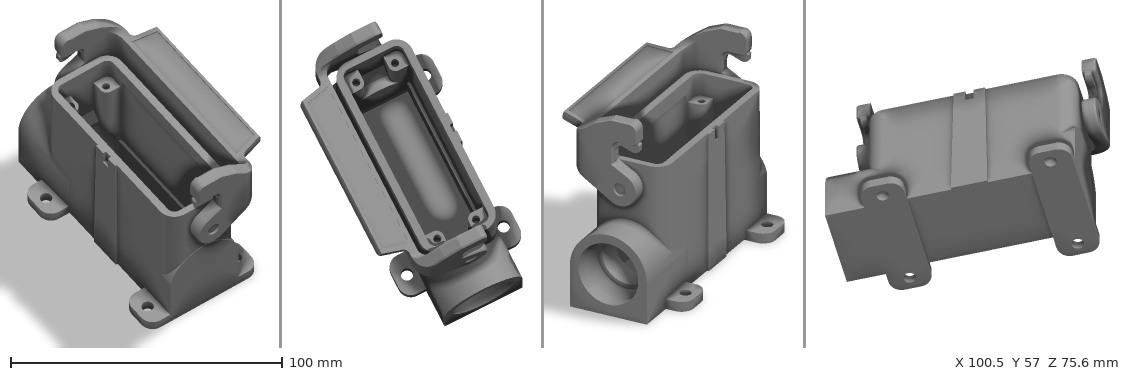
import cadquery as cq
import math

BODY_HALF_X = 40.1
BODY_HALF_Y = 15.6
BODY_BOTTOM = 1.0
RIM_Z = 57.0
RIM_INSET = 0.35
CORNER_R = 6.5
DRAFT = math.degrees(math.atan(RIM_INSET / (RIM_Z - BODY_BOTTOM)))

AXIS_Z = 17.0
CONDUIT_R = 16.1
CONDUIT_END_X = -54.95
CONDUIT_ROOT_X = -23.9
CONDUIT_BORE_D = 25.0
ENTRY_D = 21.0

FOOT_THICK = 4.0
FOOT_WIDTH = 16.2
FOOT_SPAN = 50.0
FOOT_R = 5.0
FOOT_HOLE_D = 4.6
FOOT_PITCH_X = 64.0
FOOT_PITCH_Y = 40.0

CAVITY_HALF_X = 37.1
CAVITY_HALF_Y = 12.3
CAVITY_R = 3.0
FLOOR_Z = 4.0
PAD_THICK = 0.85
PANEL_TOP_Z = 51.2
PANEL_HALF_X = 29.3
PANEL_DEPTH = 0.3

BOSS_TOP_Z = 47.8
BOSS_INNER_X = 29.9
BOSS_INNER_Y = 5.3
BOSS_R = 2.8
END_LEAN = 0.6
SCREW_D = 3.0
SCREW_DEPTH = 10.0
DRILL_HALF_ANGLE = 59.0
SCREW_PITCH_X = 66.0
SCREW_PITCH_Y = 16.0
SLOPE_FOOT_X = 33.8
PLUG_D = 23.6

RIB_THICK = 0.8
RIB_TOP_HALF = 6.0
RIB_BOTTOM_HALF = 6.95
NOTCH_WIDTH = 3.1
NOTCH_HEIGHT = 5.1
NOTCH_FLOOR_Y = -14.7

LEVER_HALF_X = 45.55
ARM_THICK = 5.2
ARM_INNER_X = LEVER_HALF_X - ARM_THICK
BAR_BACK_Y = 21.2
BAR_FRONT_Y = 18.0
BAR_BOTTOM_Z = 52.4
BAR_TOP_Z = 65.6
SHOULDER_Y = 11.2
SHOULDER_Z = 72.7
CROWN_Y = 4.0
BEND_OUTER_R = 7.05
BEND_INNER_R = 4.0
ARM_FRONT_Y = -6.65
LEVER_TOP_Z = 75.6
EDGE_SIDE = 0.35
EDGE_DEPTH = 0.7

PIVOT_Y = 0.3
PIVOT_Z = 47.6
EYE_R = 7.0
SPACER_D = 7.0
PIN_D = 4.0
DIMPLE_TOP_D = 5.1
DIMPLE_FLOOR_D = 4.6
DIMPLE_DEPTH = 0.8

HOOK_Z = 66.75
THROAT_Y = 3.6
THROAT_Z = 57.4
THROAT_R = 3.0
NOSE_R = 3.0
LIP_R = 1.5

TOOTH_WIDTH = 2.4
TOOTH_X = 42.7
TOOTH_BACK = (2.9, 62.1)
TOOTH_HOLLOW = (2.3, 64.0)
TOOTH_CEILING = (0.35, 65.0)
TOOTH_DIP_START = (-4.0, 63.4)
TOOTH_DIP = (-4.9, 63.3)
TOOTH_TIP = (-6.8, 64.0)
TOOTH_FRONT = (-7.0, 66.5)
TOOTH_ROOT_Z = HOOK_Z + LIP_R

GRIP_SLOPE = 9.0
GRIP_THICK = 3.4
GRIP_TIP_Y = 32.04
GRIP_TIP_Z = 63.8
GRIP_TIP_HALF_X = 32.0
GRIP_ROOT_HALF_X = 34.6
GRIP_TIP_LEAN = 1.4
GRIP_BASE_HALF_X = 38.0
GRIP_CORNER_R = 1.8
GRIP_ROOT_R = 2.5
GRIP_UNDER_R = 1.8
GRIP_PANEL_DEPTH = 0.4
GRIP_PANEL_TIP = (30.6, 29.6)
GRIP_PANEL_ROOT = (33.1, 19.7)
SADDLE_R = 3.5

SIDES = (-1, 1)


def block(x0, x1, y0, y1, z0, z1):
    """Box between two opposite corners."""
    return cq.Workplane("XY").box(x1 - x0, y1 - y0, z1 - z0, centered=False).translate((x0, y0, z0))


def rod_x(x0, x1, y, z, diameter):
    """Cylinder along X."""
    return cq.Workplane("YZ", origin=(x0, y, z)).circle(diameter / 2).extrude(x1 - x0)


def drafted_box():
    base = cq.Workplane("XY", origin=(0, 0, BODY_BOTTOM)).rect(2 * BODY_HALF_X, 2 * BODY_HALF_Y)
    return base.extrude(RIM_Z - BODY_BOTTOM, taper=DRAFT)


def outer_shell():
    return drafted_box().edges("not(|X or |Y)").fillet(CORNER_R)


def arch(x, half_width, length):
    """Upright arch section: a flat-sided block with a half-round top, extruded along X."""
    return arch_outline(cq.Workplane("YZ", origin=(x, 0, 0)), half_width).extrude(length)


def arch_outline(plane, half_width):
    return (
        plane.moveTo(-half_width, 0)
        .lineTo(-half_width, AXIS_Z)
        .threePointArc((0, AXIS_Z + half_width), (half_width, AXIS_Z))
        .lineTo(half_width, 0)
        .close()
    )


def conduit():
    """Conduit block outside the end wall and its narrowing root along the side walls."""
    root_length = CONDUIT_ROOT_X + BODY_HALF_X
    outside = arch(CONDUIT_END_X, CONDUIT_R, -BODY_HALF_X - CONDUIT_END_X)
    start = arch_outline(cq.Workplane("YZ", origin=(-BODY_HALF_X, 0, 0)), CONDUIT_R)
    root = arch_outline(start.workplane(offset=root_length), BODY_HALF_Y).loft(ruled=True)
    return outside.union(root)


def closed_end():
    """Square-cornered lower end opposite the conduit, flush with the long walls under an arched top."""
    rim_half_y = BODY_HALF_Y - RIM_INSET
    walls = (
        cq.Workplane("YZ")
        .polyline([
            (-BODY_HALF_Y, BODY_BOTTOM),
            (BODY_HALF_Y, BODY_BOTTOM),
            (rim_half_y, RIM_Z),
            (-rim_half_y, RIM_Z),
        ])
        .close()
        .extrude(BODY_HALF_X)
    )
    return walls.intersect(arch(0, CONDUIT_R, BODY_HALF_X))


def foot_bars():
    return (
        cq.Workplane("XY")
        .rarray(FOOT_PITCH_X, 1, 2, 1)
        .rect(FOOT_WIDTH, FOOT_SPAN)
        .extrude(FOOT_THICK)
        .edges("|Z")
        .fillet(FOOT_R)
    )


def index_rib():
    """Raised trapezoid on the front wall, leaning with the wall."""
    outer = BODY_HALF_Y + RIB_THICK
    return (
        cq.Workplane("XY", origin=(0, 0, BODY_BOTTOM))
        .center(0, -outer / 2)
        .rect(2 * RIB_BOTTOM_HALF, outer)
        .workplane(offset=RIM_Z - BODY_BOTTOM)
        .center(0, RIM_INSET / 2)
        .rect(2 * RIB_TOP_HALF, outer - RIM_INSET)
        .loft()
    )


def cavity():
    """Hollow of the housing, with everything that stands inside it already removed."""
    hollow = block(-CAVITY_HALF_X, CAVITY_HALF_X, -CAVITY_HALF_Y, CAVITY_HALF_Y, FLOOR_Z, RIM_Z)
    hollow = hollow.edges("|Z").fillet(CAVITY_R)
    pad_y = CAVITY_HALF_Y - PAD_THICK
    for side in SIDES:
        y0, y1 = sorted((side * pad_y, side * CAVITY_HALF_Y))
        hollow = hollow.cut(block(-BOSS_INNER_X, BOSS_INNER_X, y0, y1, FLOOR_Z, AXIS_Z))
        y0, y1 = sorted((side * pad_y, side * (CAVITY_HALF_Y + PANEL_DEPTH)))
        hollow = hollow.union(block(-PANEL_HALF_X, PANEL_HALF_X, y0, y1, AXIS_Z, PANEL_TOP_Z))
        hollow = hollow.cut(end_block(side))
        for y_side in SIDES:
            hollow = hollow.cut(screw_boss(side, y_side))
    return hollow.cut(rod_x(BOSS_INNER_X, CAVITY_HALF_X, 0, AXIS_Z, PLUG_D))


def end_block(side):
    """Solid end below the conduit axis with a sloped wall above it."""
    slope_foot_z = AXIS_Z + PLUG_D / 2
    profile = [
        (CAVITY_HALF_X, FLOOR_Z),
        (BOSS_INNER_X - END_LEAN, FLOOR_Z),
        (BOSS_INNER_X, AXIS_Z - ENTRY_D / 2),
        (BOSS_INNER_X, AXIS_Z),
        (SLOPE_FOOT_X, AXIS_Z),
        (SLOPE_FOOT_X, slope_foot_z),
        (CAVITY_HALF_X, slope_foot_z + CAVITY_HALF_X - SLOPE_FOOT_X),
    ]
    outline = [(side * x, z) for x, z in profile]
    return cq.Workplane("XZ").polyline(outline).close().extrude(CAVITY_HALF_Y, both=True)


def screw_boss(x_side, y_side):
    x0, x1 = sorted((x_side * BOSS_INNER_X, x_side * CAVITY_HALF_X))
    y0, y1 = sorted((y_side * BOSS_INNER_Y, y_side * CAVITY_HALF_Y))
    boss = block(x0, x1, y0, y1, FLOOR_Z, BOSS_TOP_Z)
    corner_point = (x_side * BOSS_INNER_X, y_side * BOSS_INNER_Y, BOSS_TOP_Z / 2)
    corner = cq.selectors.NearestToPointSelector(corner_point)
    return boss.edges("|Z").edges(corner).fillet(BOSS_R)


def screw_hole(x, y):
    """Blind hole with a drill-point end."""
    radius = SCREW_D / 2
    tip = SCREW_DEPTH + radius / math.tan(math.radians(DRILL_HALF_ANGLE))
    outline = [(0, 0), (radius, 0), (radius, -SCREW_DEPTH), (0, -tip)]
    hole = cq.Workplane("XZ").polyline(outline).close().revolve(360, (0, 0, 0), (0, 1, 0))
    return hole.translate((x, y, BOSS_TOP_Z))


def make_housing():
    body = outer_shell().union(closed_end()).union(conduit()).union(foot_bars()).union(index_rib())
    body = body.cut(cavity())
    body = body.cut(rod_x(CONDUIT_END_X, END_LEAN - BOSS_INNER_X, 0, AXIS_Z, ENTRY_D))
    body = body.cut(rod_x(CONDUIT_END_X, -BODY_HALF_X, 0, AXIS_Z, CONDUIT_BORE_D))
    for x_side in SIDES:
        for y_side in SIDES:
            body = body.cut(screw_hole(x_side * SCREW_PITCH_X / 2, y_side * SCREW_PITCH_Y / 2))
    foot_holes = (
        cq.Workplane("XY")
        .rarray(FOOT_PITCH_X, FOOT_PITCH_Y, 2, 2)
        .circle(FOOT_HOLE_D / 2)
        .extrude(FOOT_THICK)
    )
    notch = block(-NOTCH_WIDTH / 2, NOTCH_WIDTH / 2, -BODY_HALF_Y - RIB_THICK, NOTCH_FLOOR_Y,
                  RIM_Z - NOTCH_HEIGHT, RIM_Z)
    pin_holes = rod_x(-BODY_HALF_X, BODY_HALF_X, PIVOT_Y, PIVOT_Z, PIN_D)
    return body.cut(foot_holes).cut(notch).cut(pin_holes)


def eye_tangent(y, z, turn):
    """Point where a line from (y, z) touches the pivot eye, on the side chosen by turn."""
    dy = y - PIVOT_Y
    dz = z - PIVOT_Z
    angle = math.atan2(dz, dy) + turn * math.acos(EYE_R / math.hypot(dy, dz))
    return PIVOT_Y + EYE_R * math.cos(angle), PIVOT_Z + EYE_R * math.sin(angle)


def side_profile(x):
    """Side silhouette of the lever, drawn in the plane at x."""
    back_bottom = (BAR_BACK_Y, BAR_BOTTOM_Z)
    back_top = (BAR_BACK_Y, BAR_TOP_Z)
    crown = (CROWN_Y, LEVER_TOP_Z)
    throat = (THROAT_Y, THROAT_Z)
    lower_touch = eye_tangent(*back_bottom, -1)
    upper_touch = eye_tangent(*throat, 1)
    eye_front = (PIVOT_Y - EYE_R, PIVOT_Z)
    diagonal = math.sqrt(0.5)
    throat_mid = (THROAT_Y - THROAT_R * (1 - diagonal), HOOK_Z - THROAT_R * (1 - diagonal))
    lip_mid = (ARM_FRONT_Y + LIP_R * (1 - diagonal), HOOK_Z + LIP_R * (1 - diagonal))
    nose_mid = (ARM_FRONT_Y + NOSE_R * (1 - diagonal), LEVER_TOP_Z - NOSE_R * (1 - diagonal))
    return (
        cq.Workplane("YZ", origin=(x, 0, 0))
        .moveTo(*back_bottom)
        .lineTo(*back_top)
        .lineTo(SHOULDER_Y, SHOULDER_Z)
        .lineTo(*crown)
        .lineTo(ARM_FRONT_Y + NOSE_R, LEVER_TOP_Z)
        .threePointArc(nose_mid, (ARM_FRONT_Y, LEVER_TOP_Z - NOSE_R))
        .lineTo(ARM_FRONT_Y, HOOK_Z + LIP_R)
        .threePointArc(lip_mid, (ARM_FRONT_Y + LIP_R, HOOK_Z))
        .lineTo(THROAT_Y - THROAT_R, HOOK_Z)
        .threePointArc(throat_mid, (THROAT_Y, HOOK_Z - THROAT_R))
        .lineTo(*throat)
        .lineTo(*upper_touch)
        .threePointArc(eye_front, lower_touch)
        .close()
    )


def side_envelope():
    """Silhouette across the whole width, with bevelled edges at both outer faces."""
    core_x = LEVER_HALF_X - EDGE_DEPTH
    bevel = math.degrees(math.atan(EDGE_SIDE / EDGE_DEPTH))
    envelope = side_profile(-core_x).extrude(2 * core_x)
    envelope = envelope.union(side_profile(core_x).extrude(EDGE_DEPTH, taper=bevel))
    return envelope.union(side_profile(-core_x).extrude(-EDGE_DEPTH, taper=bevel))


def inner_top_bevel(side):
    """Material removed along the upper inner edge of an arm, from the bend to the nose."""
    x0 = side * ARM_INNER_X
    x1 = side * (ARM_INNER_X + EDGE_DEPTH)
    bevel = math.degrees(math.atan(EDGE_SIDE / EDGE_DEPTH))
    kept = side_profile(x1).extrude(x0 - x1, taper=bevel)
    back_y = BAR_BACK_Y - BEND_OUTER_R
    layer = block(min(x0, x1), max(x0, x1), ARM_FRONT_Y + NOSE_R, back_y, HOOK_Z + LIP_R, LEVER_TOP_Z)
    return layer.cut(kept)


def bow_plan():
    """U-shaped bow seen from above, as a tall prism."""
    front = min(ARM_FRONT_Y, PIVOT_Y - EYE_R)
    outer = block(-LEVER_HALF_X, LEVER_HALF_X, front, BAR_BACK_Y, 0, LEVER_TOP_Z)
    inner = block(-ARM_INNER_X, ARM_INNER_X, front, BAR_FRONT_Y, 0, LEVER_TOP_Z)
    outer = outer.edges("|Z and >Y").fillet(BEND_OUTER_R)
    return outer.cut(inner.edges("|Z and >Y").fillet(BEND_INNER_R))


def grip_plate(lift):
    """Full-width sloped plate as thick as the grip, raised by lift above it."""
    slope = math.tan(math.radians(GRIP_SLOPE))
    rise = GRIP_THICK / math.cos(math.radians(GRIP_SLOPE))
    tip_bottom = GRIP_TIP_Z + lift
    root_bottom = tip_bottom - slope * (GRIP_TIP_Y - BAR_FRONT_Y)
    tip_top_y = GRIP_TIP_Y - GRIP_TIP_LEAN
    return (
        cq.Workplane("YZ")
        .polyline([
            (GRIP_TIP_Y, tip_bottom),
            (tip_top_y, tip_bottom + rise - slope * GRIP_TIP_LEAN),
            (BAR_FRONT_Y, root_bottom + rise),
            (BAR_FRONT_Y, root_bottom),
        ])
        .close()
        .extrude(LEVER_HALF_X, both=True)
    )


def grip_top_z(y):
    """Height of the upper face of the grip at y."""
    angle = math.radians(GRIP_SLOPE)
    return GRIP_TIP_Z + GRIP_THICK / math.cos(angle) - math.tan(angle) * (GRIP_TIP_Y - y)


def saddle():
    """Space above the cross bar, level with the grip and blending up into the arms at both ends."""
    reach = BAR_FRONT_Y
    space = block(-ARM_INNER_X, ARM_INNER_X, -reach, reach, 0, LEVER_TOP_Z)
    space = space.edges("|Y and <Z").fillet(SADDLE_R)
    space = space.rotate((0, 0, 0), (1, 0, 0), GRIP_SLOPE)
    return space.translate((0, BAR_FRONT_Y, grip_top_z(BAR_FRONT_Y)))


def grip():
    """Sloped finger grip behind the cross bar, trapezoid in plan."""
    half_plan = [
        (GRIP_TIP_HALF_X, GRIP_TIP_Y),
        (GRIP_ROOT_HALF_X, BAR_BACK_Y),
        (GRIP_BASE_HALF_X, BAR_BACK_Y),
        (GRIP_BASE_HALF_X, BAR_FRONT_Y),
    ]
    mirrored = [(-x, y) for x, y in reversed(half_plan)]
    plan = cq.Workplane("XY").polyline(half_plan + mirrored).close().extrude(LEVER_TOP_Z)
    plan = plan.edges("|Z and >Y").fillet(GRIP_CORNER_R)
    for side in SIDES:
        root = cq.selectors.NearestToPointSelector((side * GRIP_ROOT_HALF_X, BAR_BACK_Y, LEVER_TOP_Z / 2))
        plan = plan.edges("|Z").edges(root).fillet(GRIP_ROOT_R)
    return grip_plate(0).intersect(plan)


def grip_panel():
    """Shallow recess in the upper face of the grip, running onto the cross bar."""
    tip_x, tip_y = GRIP_PANEL_TIP
    base_x, base_y = GRIP_PANEL_ROOT
    panel = (
        cq.Workplane("XY")
        .polyline([(-tip_x, tip_y), (tip_x, tip_y), (base_x, base_y), (-base_x, base_y)])
        .close()
        .extrude(LEVER_TOP_Z)
    )
    floor_rise = (GRIP_THICK - GRIP_PANEL_DEPTH) / math.cos(math.radians(GRIP_SLOPE))
    return grip_plate(floor_rise).intersect(panel)


def under_grip_edge():
    """Selects the edge where the underside of the grip meets the back of the cross bar."""
    rise = GRIP_THICK / math.cos(math.radians(GRIP_SLOPE))
    return cq.selectors.NearestToPointSelector((0, BAR_BACK_Y, grip_top_z(BAR_BACK_Y) - rise))


def hook_tooth(side):
    """Narrow catch below the hook."""
    return (
        cq.Workplane("YZ", origin=(side * TOOTH_X, 0, 0))
        .moveTo(THROAT_Y, TOOTH_BACK[1])
        .lineTo(*TOOTH_BACK)
        .threePointArc(TOOTH_HOLLOW, TOOTH_CEILING)
        .lineTo(*TOOTH_DIP_START)
        .threePointArc(TOOTH_DIP, TOOTH_TIP)
        .lineTo(*TOOTH_FRONT)
        .lineTo(ARM_FRONT_Y + LIP_R, TOOTH_ROOT_Z)
        .lineTo(THROAT_Y, TOOTH_ROOT_Z)
        .close()
        .extrude(TOOTH_WIDTH / 2, both=True)
    )


def dimple(side):
    """Shallow tapered recess in the outer face of an arm, over the pivot."""
    mouth = cq.Workplane("YZ", origin=(side * LEVER_HALF_X, PIVOT_Y, PIVOT_Z)).circle(DIMPLE_TOP_D / 2)
    return mouth.workplane(offset=-side * DIMPLE_DEPTH).circle(DIMPLE_FLOOR_D / 2).loft()


def pivot(side):
    """Spacer and pin of one arm; the pin ends flush with the inside of the housing wall."""
    wall = drafted_box()
    spacer0, spacer1 = sorted((side * CAVITY_HALF_X, side * ARM_INNER_X))
    spacer = rod_x(spacer0, spacer1, PIVOT_Y, PIVOT_Z, SPACER_D).cut(wall)
    return spacer.union(rod_x(spacer0, spacer1, PIVOT_Y, PIVOT_Z, PIN_D))


def make_lever():
    lever = bow_plan().intersect(side_envelope())
    for side in SIDES:
        lever = lever.cut(inner_top_bevel(side))
    lever = lever.cut(saddle()).union(grip())
    lever = lever.edges("|X").edges(under_grip_edge()).fillet(GRIP_UNDER_R)
    lever = lever.cut(grip_panel())
    for side in SIDES:
        lever = lever.union(hook_tooth(side)).union(pivot(side)).cut(dimple(side))
    return lever


housing = make_housing()
lever = make_lever()
result = cq.Compound.makeCompound([*housing.solids().vals(), *lever.solids().vals()])